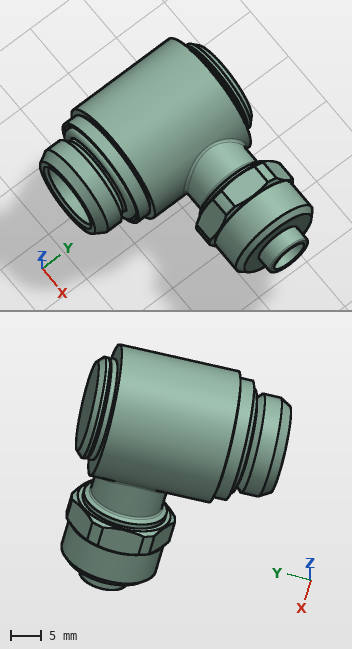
import cadquery as cq
import math


barrel_radius = 11.0
barrel_back = 7.5
barrel_length = 20.0
barrel_front = barrel_back - barrel_length

snap_wire_radius = 0.5
snap_center_radius = 8.0
snap_gap = 0.5
snap_y = barrel_back + snap_wire_radius

head_radius = 8.45
head_back = 10.5
head_chamfer = 1.0
head_land = 0.62
head_front = head_back - head_chamfer - head_land

flange_radius = 10.0
flange_chamfer = 0.25
flange_front = -15.05
recess_mouth_radius = 9.5
recess_floor_radius = 9.1

neck_radius = 7.25
seal_wire_radius = 0.87
seal_center_radius = neck_radius + seal_wire_radius
seal_y = flange_front - 0.05
recess_bottom = seal_y + seal_wire_radius

thread_radius = 8.3
screw_front = -22.0
thread_back = -17.3
neck_front = thread_back + (thread_radius - neck_radius)
lead_chamfer_length = 1.83
lead_chamfer_depth = 1.05

bore_radius = 5.7
bore_chamfer = 0.55
bore_full_depth_y = 0.7
drill_point_angle = 140
passage_radius = 3.1
passage_tip_angle = 118

branch_radius = 6.0
branch_root_fillet = 0.5
collar_radius = 7.0
collar_start = 15.75
collar_cone_angle = 60
collar_root_radius = 0.4

hex_start = 16.55
hex_end = 21.1
hex_across_flats = 16.0
hex_corner_radius = 8.7
hex_end_radius = 7.85
hex_chamfer_length = 0.5
nut_radius = hex_across_flats / 2
nut_end = 27.55
nut_chamfer = 1.0

tube_radius = 4.03
tube_end = 30.5
tube_edge_fillet = 0.25


def revolve_about_y(profile):
    """Turn a closed (radius, y) outline about the screw axis."""
    return profile.close().revolve(360, (0, 0, 0), (0, 1, 0))


def revolve_about_x(profile):
    """Turn a closed (x, radius) outline about the branch axis."""
    return profile.close().revolve(360, (0, 0, 0), (1, 0, 0))


def cylinder_along_x(radius, start, end):
    return cq.Workplane("YZ", origin=(start, 0, 0)).circle(radius).extrude(end - start)


def make_barrel_with_branch():
    """Barrel and plain branch, with a fillet along the curve where they meet."""
    barrel = (
        cq.Workplane("XZ", origin=(0, barrel_back, 0))
        .circle(barrel_radius)
        .extrude(barrel_length)
    )
    branch = cylinder_along_x(branch_radius, 0, hex_start)
    joined = barrel.union(branch)
    root_zone = cq.selectors.BoxSelector(
        (0.4, -barrel_radius, -barrel_radius),
        (barrel_radius + 0.4, barrel_back - 0.4, barrel_radius),
    )
    root_edges = joined.edges(root_zone).edges("not(%CIRCLE or %LINE)")
    return root_edges.fillet(branch_root_fillet)


def make_screw_outside():
    """Outside of the hollow screw, with the snap ring groove and the O-ring recess."""
    profile = (
        cq.Workplane("XY")
        .moveTo(0, head_back)
        .lineTo(head_radius - head_chamfer, head_back)
        .lineTo(head_radius, head_back - head_chamfer)
        .lineTo(head_radius, head_front)
        .lineTo(snap_center_radius, head_front)
        .lineTo(snap_center_radius, snap_y + snap_wire_radius)
        .threePointArc(
            (snap_center_radius - snap_wire_radius, snap_y),
            (snap_center_radius, snap_y - snap_wire_radius),
        )
        .lineTo(snap_center_radius, barrel_front)
        .lineTo(flange_radius - flange_chamfer, barrel_front)
        .lineTo(flange_radius, barrel_front - flange_chamfer)
        .lineTo(flange_radius, flange_front)
        .lineTo(recess_mouth_radius, flange_front)
        .lineTo(recess_floor_radius, recess_bottom)
        .lineTo(neck_radius, recess_bottom)
        .lineTo(neck_radius, neck_front)
        .lineTo(thread_radius, thread_back)
        .lineTo(thread_radius, screw_front + lead_chamfer_length)
        .lineTo(thread_radius - lead_chamfer_depth, screw_front)
        .lineTo(0, screw_front)
    )
    return revolve_about_y(profile)


def make_screw_bore():
    """Blind bore from the threaded end, with a chamfered mouth and a drill point."""
    drill_point = bore_radius / math.tan(math.radians(drill_point_angle / 2))
    profile = (
        cq.Workplane("XY")
        .moveTo(0, screw_front)
        .lineTo(bore_radius + bore_chamfer, screw_front)
        .lineTo(bore_radius, screw_front + bore_chamfer)
        .lineTo(bore_radius, bore_full_depth_y)
        .lineTo(0, bore_full_depth_y + drill_point)
    )
    return revolve_about_y(profile)


def make_passage():
    """Passage from the open tube end to the screw axis, closed by a drill point."""
    tip_length = passage_radius / math.tan(math.radians(passage_tip_angle / 2))
    profile = (
        cq.Workplane("XY")
        .moveTo(-tip_length, 0)
        .lineTo(0, passage_radius)
        .lineTo(tube_end, passage_radius)
        .lineTo(tube_end, 0)
    )
    return revolve_about_x(profile)


def make_branch_collar():
    """Collar behind the nut: a cone rising from the branch through a rounded root."""
    angle = math.radians(collar_cone_angle)
    cone_foot_x = collar_start - (collar_radius - branch_radius) / math.tan(angle)
    tangent_length = collar_root_radius * math.tan(angle / 2)
    root_start_x = cone_foot_x - tangent_length
    root_end = (
        cone_foot_x + tangent_length * math.cos(angle),
        branch_radius + tangent_length * math.sin(angle),
    )
    root_middle = (
        root_start_x + collar_root_radius * math.sin(angle / 2),
        branch_radius + collar_root_radius * (1 - math.cos(angle / 2)),
    )
    profile = (
        cq.Workplane("XY")
        .moveTo(root_start_x, 0)
        .lineTo(root_start_x, branch_radius)
        .threePointArc(root_middle, root_end)
        .lineTo(collar_start, collar_radius)
        .lineTo(hex_start, collar_radius)
        .lineTo(hex_start, 0)
    )
    return revolve_about_x(profile)


def make_nut():
    """Hexagon with turned corners and chamfered ends, then the round part of the nut."""
    across_corners = hex_across_flats / math.cos(math.pi / 6)
    hexagon = (
        cq.Workplane("YZ", origin=(hex_start, 0, 0))
        .polygon(6, across_corners)
        .extrude(hex_end - hex_start)
    )
    turned_envelope = revolve_about_x(
        cq.Workplane("XY")
        .moveTo(hex_start, 0)
        .lineTo(hex_start, hex_end_radius)
        .lineTo(hex_start + hex_chamfer_length, hex_corner_radius)
        .lineTo(hex_end - hex_chamfer_length, hex_corner_radius)
        .lineTo(hex_end, hex_end_radius)
        .lineTo(hex_end, 0)
    )
    round_part = cylinder_along_x(nut_radius, hex_end, nut_end).faces(">X").chamfer(nut_chamfer)
    return hexagon.intersect(turned_envelope).union(round_part)


def make_tube():
    return cylinder_along_x(tube_radius, nut_end, tube_end).faces(">X").edges().fillet(tube_edge_fillet)


def make_elbow():
    """Barrel, screw, branch, nut and tube as one solid, with the flow passage cut through."""
    outside = (
        make_barrel_with_branch()
        .union(make_screw_outside())
        .union(make_branch_collar())
        .union(make_nut())
        .union(make_tube())
    )
    return outside.cut(make_screw_bore()).cut(make_passage())


def make_snap_ring():
    """Open wire ring with its gap centred on +Z."""
    gap_angle = math.degrees(snap_gap / snap_center_radius)
    ring = (
        cq.Workplane("XY")
        .center(snap_center_radius, snap_y)
        .circle(snap_wire_radius)
        .revolve(360 - gap_angle, (-snap_center_radius, 0, 0), (-snap_center_radius, 1, 0))
    )
    turn_to_gap = -90 + gap_angle / 2
    return ring.rotate((0, 0, 0), (0, 1, 0), turn_to_gap)


def make_o_ring():
    return (
        cq.Workplane("XY")
        .center(seal_center_radius, seal_y)
        .circle(seal_wire_radius)
        .revolve(360, (-seal_center_radius, 0, 0), (-seal_center_radius, 1, 0))
    )


elbow = make_elbow()
snap_ring = make_snap_ring()
o_ring = make_o_ring()

result = cq.Compound.makeCompound([elbow.solids().val(), snap_ring.val(), o_ring.val()])